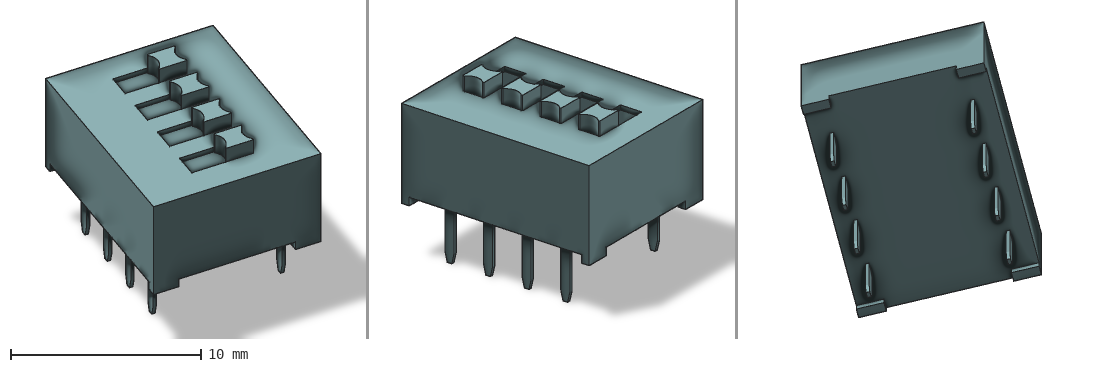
import cadquery as cq


body_length = 12.34
body_width = 9.9
body_top = 5.85
foot_height = 0.5
foot_length = 0.5
foot_width = 1.5

position_count = 4
pitch = 2.54
position_xs = [(i - (position_count - 1) / 2) * pitch for i in range(position_count)]

slot_width = 1.4
slot_length = 3.65
slot_depth = 0.3
slot_floor = body_top - slot_depth
slider_length = 1.62
slider_rise = 0.9
slider_edge_land = 0.1
slider_hollow_depth = 0.26

pin_row_spacing = 7.62
pin_width = 0.6
pin_thickness = 0.2
pin_reach = 3.2
pin_tip_width = 0.3
pin_tip_length = 0.62

arrow_tail_y = -2.98
arrow_stem_width = 0.56
arrow_stem_length = 0.55
arrow_head_width = 1.6
arrow_head_length = arrow_head_width / 2
arrow_thickness = 0.1


def make_body():
    """Block relieved underneath in both directions, leaving a foot at each corner."""
    block = cq.Workplane("XY").box(body_length, body_width, body_top, centered=(True, True, False))
    gap_x = body_length - 2 * foot_length
    gap_y = body_width - 2 * foot_width
    relief_along_y = cq.Workplane("XY").box(gap_x, body_width, foot_height, centered=(True, True, False))
    relief_along_x = cq.Workplane("XY").box(body_length, gap_y, foot_height, centered=(True, True, False))
    return block.cut(relief_along_y).cut(relief_along_x)


def make_slot(x):
    """Shallow rectangular opening in which one slider travels."""
    return (
        cq.Workplane("XY", origin=(x, 0, slot_floor))
        .rect(slot_width, slot_length)
        .extrude(slot_depth)
    )


def make_slider(x):
    """Slider at the +Y end of its slot, with a hollow arc in its front and back."""
    half_width = slot_width / 2
    half_hollow = half_width - slider_edge_land
    back = slot_length / 2
    front = back - slider_length
    return (
        cq.Workplane("XY", origin=(x, 0, slot_floor))
        .moveTo(-half_width, front)
        .lineTo(-half_hollow, front)
        .threePointArc((0, front + slider_hollow_depth), (half_hollow, front))
        .lineTo(half_width, front)
        .lineTo(half_width, back)
        .lineTo(half_hollow, back)
        .threePointArc((0, back - slider_hollow_depth), (-half_hollow, back))
        .lineTo(-half_width, back)
        .close()
        .extrude(slot_depth + slider_rise)
    )


def make_pin(x, y):
    """Flat pin hanging from the underside of the body, narrowing to a blunt tip."""
    half_width = pin_width / 2
    half_tip = pin_tip_width / 2
    taper_start = pin_tip_length - pin_reach
    outline = [
        (-half_width, foot_height),
        (-half_width, taper_start),
        (-half_tip, -pin_reach),
        (half_tip, -pin_reach),
        (half_width, taper_start),
        (half_width, foot_height),
    ]
    return (
        cq.Workplane("XZ", origin=(x, y, 0))
        .polyline(outline)
        .close()
        .extrude(pin_thickness / 2, both=True)
    )


def make_arrow(x):
    """Arrow-shaped inlay whose upper face is flush with the top of the body."""
    half_stem = arrow_stem_width / 2
    half_head = arrow_head_width / 2
    head_y = arrow_tail_y - arrow_stem_length
    outline = [
        (-half_stem, arrow_tail_y),
        (half_stem, arrow_tail_y),
        (half_stem, head_y),
        (half_head, head_y),
        (0, head_y - arrow_head_length),
        (-half_head, head_y),
        (-half_stem, head_y),
    ]
    return (
        cq.Workplane("XY", origin=(x, 0, body_top - arrow_thickness))
        .polyline(outline)
        .close()
        .extrude(arrow_thickness)
    )


result = make_body()
for position_x in position_xs:
    result = result.cut(make_slot(position_x)).union(make_slider(position_x))
    for row_side in (-1, 1):
        result = result.union(make_pin(position_x, row_side * pin_row_spacing / 2))

result = result.union(make_arrow(position_xs[0]), clean=False)